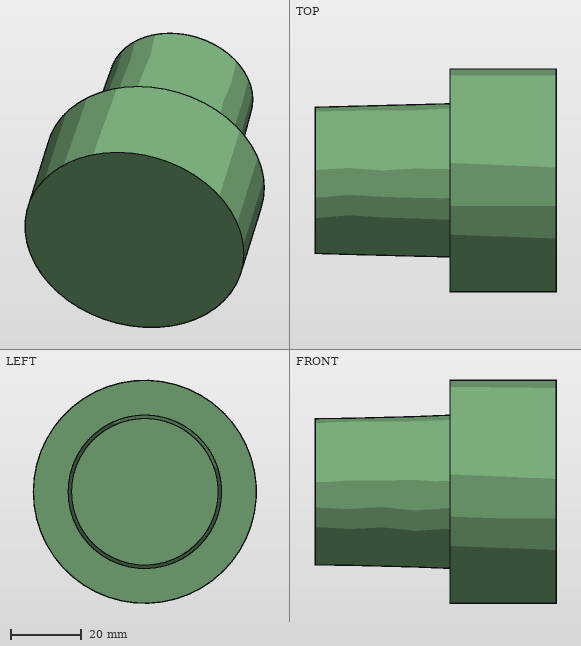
import cadquery as cq

total_length = 68.0
spigot_length = 38.0
head_diameter = 63.0
spigot_tip_diameter = 41.35
spigot_root_diameter = 43.3

tip_radius = spigot_tip_diameter / 2
root_radius = spigot_root_diameter / 2
head_radius = head_diameter / 2

half_profile = (
    cq.Workplane("XY")
    .lineTo(0, tip_radius)
    .lineTo(spigot_length, root_radius)
    .lineTo(spigot_length, head_radius)
    .lineTo(total_length, head_radius)
    .lineTo(total_length, 0)
    .close()
)

result = half_profile.revolve(360, (0, 0, 0), (1, 0, 0))